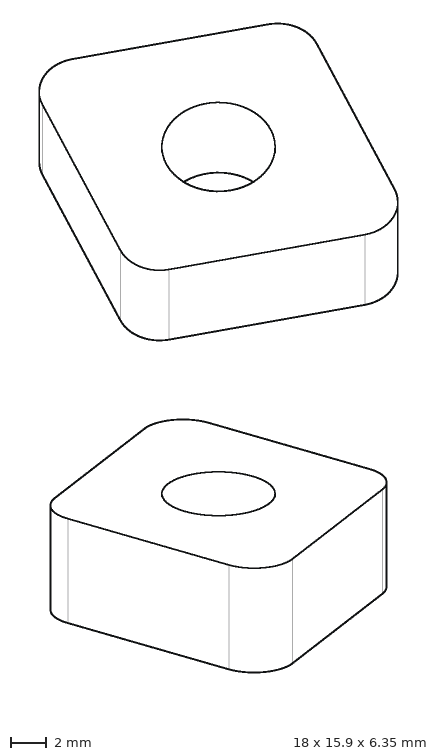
import cadquery as cq
import math

overall_length = 18.01
thickness = 6.35
hole_diameter = 6.35
nose_radius = 2.4
nose_angle = math.radians(80)

center_length = overall_length - 2 * nose_radius
center_height = center_length * math.tan(nose_angle / 2)
width = center_height + 2 * nose_radius

side = width / math.sin(nose_angle)
lean = width / math.tan(nose_angle)
acute_corner_x = (side + lean) / 2
obtuse_corner_x = (side - lean) / 2
corners = [
    (-acute_corner_x, -width / 2),
    (obtuse_corner_x, -width / 2),
    (acute_corner_x, width / 2),
    (-obtuse_corner_x, width / 2),
]

body = (
    cq.Workplane("XY")
    .workplane(offset=-thickness / 2)
    .polyline(corners)
    .close()
    .extrude(thickness)
    .edges("|Z")
    .fillet(nose_radius)
)

result = body.faces(">Z").workplane(origin=(0, 0, 0)).hole(hole_diameter)